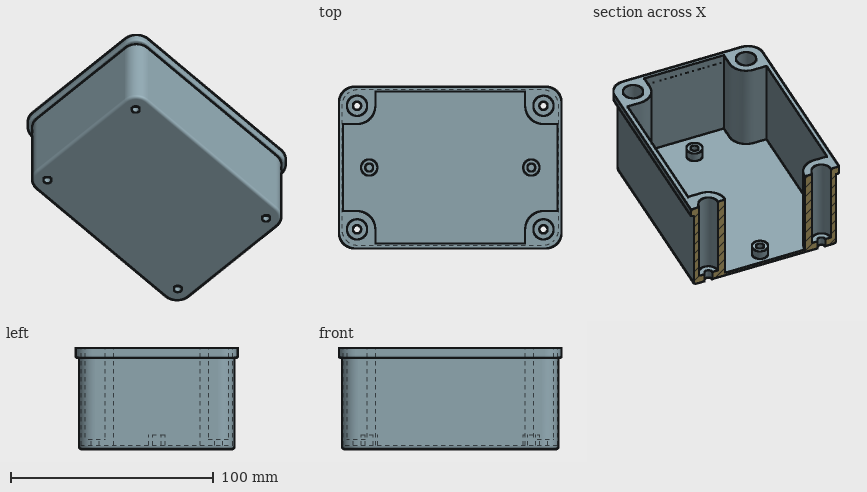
import cadquery as cq

length = 110.0
width = 80.0
height = 50.0
corner_radius = 8.0
rim_height = 5.0
rim_overhang = 1.5
rim_edge_radius = 1.0
base_edge_radius = 1.5

end_wall_inset = 2.2
side_wall_inset = 2.5
floor_thickness = 2.0

pillar_radius = 9.0
screw_spacing_x = 92.0
screw_spacing_y = 60.9
screw_diameter = 4.0
head_bore_diameter = 10.0
head_seat_thickness = 5.0

standoff_spacing = 80.0
standoff_diameter = 8.0
standoff_hole_diameter = 4.0
standoff_height = 5.0


def rounded_block(size_x, size_y, size_z, bottom_z, bottom_radius):
    """Block with rounded vertical corners and a rounded bottom edge."""
    block = cq.Workplane("XY").workplane(offset=bottom_z).rect(size_x, size_y).extrude(size_z)
    return block.edges("|Z").fillet(corner_radius).faces("<Z").edges().fillet(bottom_radius)


def make_shell():
    body = rounded_block(length - 2 * rim_overhang, width - 2 * rim_overhang, height, 0, base_edge_radius)
    rim = rounded_block(length, width, rim_height, height - rim_height, rim_edge_radius)
    return body.union(rim)


def make_cavity():
    """Cross-shaped cavity whose rounded inner corners leave a pillar standing in each box corner."""
    cavity_x = length - 2 * end_wall_inset
    cavity_y = width - 2 * side_wall_inset
    pillar_gap_x = screw_spacing_x - 2 * pillar_radius
    pillar_gap_y = screw_spacing_y - 2 * pillar_radius
    depth = height - floor_thickness
    floor = cq.Workplane("XY").workplane(offset=floor_thickness)
    lengthwise = floor.rect(cavity_x, pillar_gap_y).extrude(depth)
    crosswise = floor.rect(pillar_gap_x, cavity_y).extrude(depth)
    pillar_edges = cq.selectors.BoxSelector(
        (-screw_spacing_x / 2, -screw_spacing_y / 2, 0),
        (screw_spacing_x / 2, screw_spacing_y / 2, height),
    )
    return lengthwise.union(crosswise).edges("|Z").edges(pillar_edges).fillet(pillar_radius)


def screw_cylinders(diameter, bottom_z):
    return (
        cq.Workplane("XY")
        .workplane(offset=bottom_z)
        .rect(screw_spacing_x, screw_spacing_y, forConstruction=True)
        .vertices()
        .circle(diameter / 2)
        .extrude(height - bottom_z)
    )


def make_standoffs():
    return (
        cq.Workplane("XY")
        .workplane(offset=floor_thickness)
        .pushPoints([(-standoff_spacing / 2, 0), (standoff_spacing / 2, 0)])
        .circle(standoff_diameter / 2)
        .circle(standoff_hole_diameter / 2)
        .extrude(standoff_height)
    )


result = make_shell().cut(make_cavity())
result = result.cut(screw_cylinders(screw_diameter, 0))
result = result.cut(screw_cylinders(head_bore_diameter, head_seat_thickness))
result = result.union(make_standoffs())